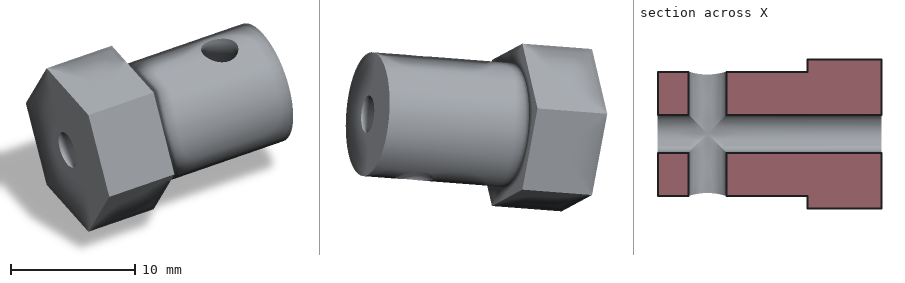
import cadquery as cq
import math

total_length = 18.0
head_length = total_length / 3
across_flats = 12.0
shank_diameter = 10.0
hole_diameter = 3.0
cross_hole_setback = 4.0

across_corners = across_flats / math.cos(math.radians(30))
cross_hole_y = total_length - cross_hole_setback

head = cq.Workplane("XZ").polygon(6, across_corners).extrude(-head_length)

shank = cq.Workplane("XZ").circle(shank_diameter / 2).extrude(-total_length)

bore = cq.Workplane("XZ").circle(hole_diameter / 2).extrude(-total_length)

cross_hole = (
    cq.Workplane("XY")
    .center(0, cross_hole_y)
    .circle(hole_diameter / 2)
    .extrude(shank_diameter, both=True)
)

result = head.union(shank).cut(bore).cut(cross_hole)